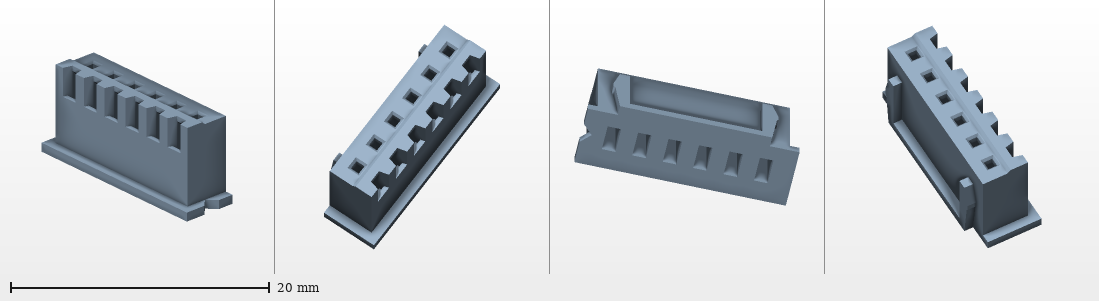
import cadquery as cq


flange_length = 16.79
flange_depth = 4.75
wall = 0.77
body_length = flange_length - 2 * wall
body_front = wall
total_height = 7.52

rear_top_drop = 0.25
ramp_run = 0.3
ramp_front = 2.28
rear_top = total_height - rear_top_drop

notch_y = 2.59

contact_count = 6
contact_pitch = 2.42
contact_xs = [(i - (contact_count - 1) / 2) * contact_pitch for i in range(contact_count)]

pin_y = 3.22
pin_size = 0.75
pin_lead_in = 0.18

window_front_width = 1.48
window_rear_width = 1.07
window_depth = 0.8
window_rear = body_front + window_depth
window_bottom = 5.05
sill_depth = window_depth / 2
pocket_bottom = window_bottom - window_depth

chamber_width = window_rear_width
chamber_rear = pin_y + pin_size / 2
chamber_slope = 0.45
chamber_roof = total_height - 2 * chamber_slope

latch_tip_x = 6.55
latch_top_x = 6.05
latch_inner_x = latch_top_x - wall
latch_neck_x = 6.41
latch_top = 5.5
latch_tip_top = 3.75
latch_tip_bottom = 3.25
latch_neck_z = 3.09


def box(x_size, x_mid, y_min, y_max, z_min, z_max):
    """Box centred on x_mid, between the given Y and Z limits."""
    size = (x_size, y_max - y_min, z_max - z_min)
    return cq.Workplane("XY").box(*size, centered=(True, False, False)).translate((x_mid, y_min, z_min))


def side_prism(points, length, x_mid):
    """Prism along X, centred on x_mid, from an outline of (y, z) points."""
    return cq.Workplane("YZ").polyline(points).close().extrude(length / 2, both=True).translate((x_mid, 0, 0))


def flange():
    plate = box(flange_length, 0, 0, flange_depth, 0, wall)
    end = flange_length / 2
    notch = (
        cq.Workplane("XY")
        .polyline([(end, notch_y - wall), (end, notch_y + wall), (end - wall, notch_y)])
        .close()
        .extrude(wall)
    )
    return plate.cut(notch)


def body():
    outline = [
        (body_front, 0),
        (body_front, total_height),
        (ramp_front, total_height),
        (ramp_front + ramp_run, rear_top),
        (flange_depth, rear_top),
        (flange_depth, 0),
    ]
    return side_prism(outline, body_length, 0)


def latch():
    """Two barbed arms rising from a low bar along the rear face."""
    arm_half = [
        (latch_top_x, 0),
        (latch_neck_x, latch_neck_z),
        (latch_tip_x, latch_tip_bottom),
        (latch_tip_x, latch_tip_top),
        (latch_top_x, latch_top),
        (latch_inner_x, latch_top),
        (latch_inner_x, wall),
    ]
    mirrored_half = [(-x, z) for x, z in reversed(arm_half)]
    return (
        cq.Workplane("XZ", origin=(0, flange_depth + wall, 0))
        .polyline(arm_half + mirrored_half)
        .close()
        .extrude(wall)
    )


def pin_entry(x):
    shaft = box(pin_size, x, pin_y - pin_size / 2, pin_y + pin_size / 2, 0, rear_top)
    mouth_size = pin_size + 2 * pin_lead_in
    lead_in = (
        cq.Workplane("XY", origin=(x, pin_y, rear_top))
        .rect(mouth_size, mouth_size)
        .workplane(offset=-pin_lead_in)
        .rect(pin_size, pin_size)
        .loft(ruled=True)
    )
    return shaft.union(lead_in)


def window(x):
    """Tapered front window that drops into a pocket behind its sill."""
    front_half = window_front_width / 2
    rear_half = window_rear_width / 2
    opening = (
        cq.Workplane("XY", origin=(x, 0, pocket_bottom))
        .polyline([
            (-front_half, body_front),
            (front_half, body_front),
            (rear_half, window_rear),
            (-rear_half, window_rear),
        ])
        .close()
        .extrude(total_height - pocket_bottom)
    )
    sill = box(window_front_width, x, body_front, body_front + sill_depth, pocket_bottom, window_bottom)
    return opening.cut(sill)


def chamber(x):
    """Terminal chamber, open at the underside and into the window."""
    outline = [
        (window_rear, 0),
        (window_rear, chamber_roof + chamber_slope),
        (window_rear + chamber_slope, chamber_roof),
        (chamber_rear, chamber_roof),
        (chamber_rear, 0),
    ]
    return side_prism(outline, chamber_width, x)


result = body().union(flange()).union(latch())
for contact_x in contact_xs:
    result = result.cut(pin_entry(contact_x)).cut(window(contact_x)).cut(chamber(contact_x))